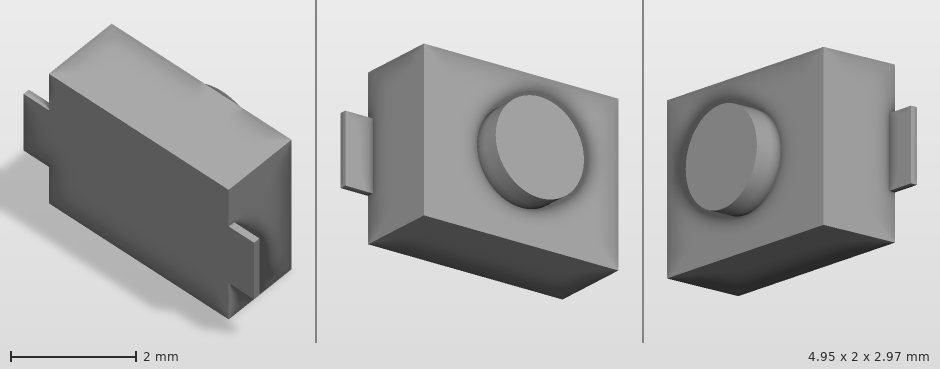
import cadquery as cq

overall_length = 4.95
overall_depth = 2.0

housing_length = 3.86
housing_depth = 1.5
housing_height = 2.97

button_diameter = 1.75
button_height = overall_depth - housing_depth

terminal_length = (overall_length - housing_length) / 2
terminal_thickness = 0.13
terminal_height = 1.295


def make_housing():
    """Rectangular block with its -Y face at Y = 0."""
    return cq.Workplane("XY").box(
        housing_length, housing_depth, housing_height, centered=(True, False, True)
    )


def make_button():
    """Cylinder standing on the +Y face of the housing."""
    return (
        cq.Workplane("XZ", origin=(0, housing_depth, 0))
        .circle(button_diameter / 2)
        .extrude(-button_height)
    )


def make_terminal(side):
    """Flat plate against the housing end, flush with its -Y face; side is -1 for -X and +1 for +X."""
    center_x = side * (housing_length + terminal_length) / 2
    return (
        cq.Workplane("XY")
        .box(terminal_length, terminal_thickness, terminal_height, centered=(True, False, True))
        .translate((center_x, 0, 0))
    )


housing = make_housing()
button = make_button()
terminals = [make_terminal(side) for side in (-1, 1)]

result = cq.Compound.makeCompound(
    [housing.val(), button.val(), *[terminal.val() for terminal in terminals]]
)